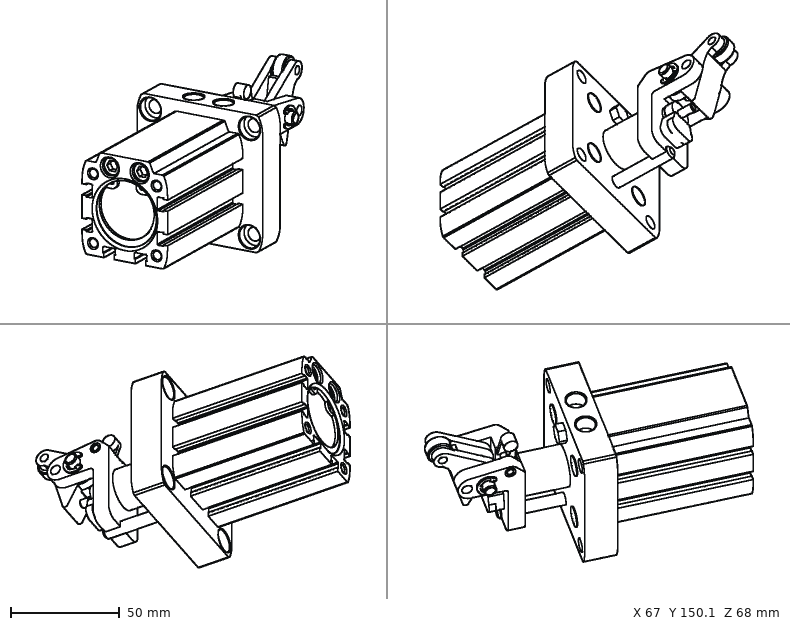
import cadquery as cq
import math


barrel_half = 22.8
barrel_length = 68.0
crown_top = 27.9
crown_outline = [(12.5, crown_top), (13.4, 27.6), (14.9, 23.9), (15.6, barrel_half)]
corner_start = (20.1, barrel_half)
corner_edge = (20.9, 22.5)
corner_middle = (22.2, 18.8)
corner_end = (barrel_half, 13.2)
slot_offset = 8.4
slot_mouth = 5.4
slot_inside = 6.6
slot_lip = 2.3
slot_depth = 5.4
slot_corner = 0.5
screw_offset = 17.0
screw_hole_diameter = 4.2
screw_hole_mouth = 5.5
screw_hole_depth = 12.0

bore_diameter = 32.0
bore_mouth = 34.8
cover_depth = 3.3
ring_depth = 1.8
ring_opening = 29.3
ring_opening_offset = 2.0
lug_place = (8.0, 13.8)
lug_radius = 3.0
lug_hole_diameter = 1.8
plug_place = (8.0, 21.6)
plug_hole_diameter = 8.5
plug_hole_mouth = 10.0
plug_depth = 2.3
hex_flats = 5.0
hex_depth = 3.0

plate_size = 67.0
plate_thickness = 15.9
plate_front = barrel_length + plate_thickness
plate_half = plate_size / 2
plate_top_edge = (30.2, plate_half)
plate_corner_edge = (31.4, 32.7)
plate_corner_middle = (32.9, 29.0)
plate_corner_side = (plate_half, 25.0)
bolt_offset = 26.4
bolt_hole_diameter = 6.6
bolt_head_diameter = 11.0
bolt_head_mouth = 11.7
bolt_head_depth = 4.5
port_offset = 8.0
port_diameter = 9.0
port_mouth = 10.0
port_depth = 7.5
port_tip_angle = 118.0
pad_diameter = 9.8
pad_height = 0.5
nut_corners = 9.9
nut_height = 3.8
nut_z = 21.9

rod_diameter = 20.1
bracket_back = 106.6
collar_z = 0.6
neck_diameter = 11.5
neck_end = 116.2
collar_diameter = 12.3
collar_end = 120.7
rod_tip_diameter = 4.0
rod_tip_end = 128.5
rod_tip_chamfer = 0.5
seat_depth = 9.0

guide_diameter = 6.0
guide_z = -22.0
guide_end = 116.2
guide_chamfer = 1.0

bracket_half = 13.8
bracket_face = 114.7
bracket_bottom = -23.5
bracket_corner_radius = 5.3
cheek_hole_diameter = 5.0
cheek_hole = (134.5, 12.9)
arm_bottom = 6.6
bracket_back_top = (bracket_back, 16.2)
bracket_crest = [(110.8, 20.7), (112.3, 21.8), (114.2, 21.9)]
bracket_nose_top = [(133.8, 19.4), (134.5, 19.2)]
bracket_nose = [(138.9, 13.0), (132.7, arm_bottom)]
arm_fillet = 1.8
lever_width = 14.3
lever_half = lever_width / 2
yoke_floor = 117.0
cut_size = 30.0
notch_left = -6.9
notch_floor = 12.8
notch_lip = 15.8
notch_lip_thickness = 0.9
stop_top_half = 5.7
stop_half = 7.2
stop_top = -3.9
stop_end = 122.0
stop_screw_x = 3.6
stop_screw_z = -10.8
stop_screw_radius = 3.9
stop_screw_thickness = 3.3

pivot = (124.5, 12.9)
pivot_diameter = 6.0
pivot_half_length = 18.0
pivot_chamfer = 0.6
heel_radius = 7.4
roller_centre = (144.1, 28.5)
roller_diameter = 12.0
roller_width = 5.9
roller_half = roller_width / 2
roller_chamfer = 0.6
roller_hole_diameter = 3.5
lever_hole_diameter = 4.0
lever_nose_radius = 4.4
toe_root = (126.5, 5.5)
toe_tip = [(131.7, -3.6), (133.2, -4.8), (134.7, -3.3)]
lever_throat = [(139.0, 12.8), (140.0, 18.3), (141.7, 22.0)]
lever_angle = 32.0
roller_pocket_radius = 6.6
roller_pocket_half = 3.3
web_top = 26.3
web_back = [(135.3, web_top), (132.7, 12.0), (127.0, 5.1)]

clip_diameter = 11.0
clip_thickness = 0.9
clip_opening = 3.9
clip_mouth_half = 8.3
clip_window = 7.8
clip_prong = 1.8
clip_prong_angles = (60, 180, 300)

release_pin = (113.6, 18.0)
release_pin_diameter = 3.0
knob = (111.1, 26.5)
knob_radius = 3.3
knob_length = 5.7
arm_left = -2.0
arm_right = -0.2
arm_foot_half = 3.0
release_pin_end = 4.5
release_recess_depth = 0.5
release_recess_diameter = 5.0


def rear_plane(y):
    """X-Z sketch plane at a given Y; a negative extrusion runs toward +Y."""
    return cq.Workplane("XZ", origin=(0, y, 0))


def side_plane(x):
    """Y-Z sketch plane at a given X; extrusions run toward +X."""
    return cq.Workplane("YZ", origin=(x, 0, 0))


def rod_along_y(diameter, start, end, x=0.0, z=0.0):
    return rear_plane(start).center(x, z).circle(diameter / 2).extrude(start - end)


def rod_along_x(diameter, start, end, place):
    return side_plane(start).center(*place).circle(diameter / 2).extrude(end - start)


def square_pattern(offset):
    return [(sx * offset, sz * offset) for sx in (-1, 1) for sz in (-1, 1)]


def holes_with_mouth(points, diameter, mouth, depth):
    """Blind holes from Y = 0 toward +Y, each with a 45 degree mouth."""
    mouth_depth = (mouth - diameter) / 2
    holes = rear_plane(0).pushPoints(points).circle(diameter / 2).extrude(-depth)
    mouths = (
        rear_plane(0)
        .pushPoints(points)
        .circle(mouth / 2)
        .extrude(-mouth_depth, taper=45)
    )
    return holes.union(mouths)


def mirrored(point, side_x, side_z):
    return side_x * point[0], side_z * point[1]


def barrel_profile():
    left_crown = [mirrored(point, -1, 1) for point in reversed(crown_outline)]
    return (
        rear_plane(0)
        .polyline(crown_outline + [corner_start, corner_edge])
        .threePointArc(corner_middle, corner_end)
        .lineTo(*mirrored(corner_end, 1, -1))
        .threePointArc(mirrored(corner_middle, 1, -1), mirrored(corner_edge, 1, -1))
        .lineTo(*mirrored(corner_start, 1, -1))
        .lineTo(*mirrored(corner_start, -1, -1))
        .lineTo(*mirrored(corner_edge, -1, -1))
        .threePointArc(mirrored(corner_middle, -1, -1), mirrored(corner_end, -1, -1))
        .lineTo(*mirrored(corner_end, -1, 1))
        .threePointArc(mirrored(corner_middle, -1, 1), mirrored(corner_edge, -1, 1))
        .lineTo(*mirrored(corner_start, -1, 1))
        .polyline(left_crown, includeCurrent=True)
        .close()
    )


def t_slots():
    """Two T-slots on the right side, at the two slot offsets."""
    slots = cq.Workplane()
    inside_depth = slot_depth - slot_lip
    for z in (-slot_offset, slot_offset):
        mouth = cq.Workplane().box(slot_depth, barrel_length, slot_mouth, centered=(True, False, True))
        mouth = mouth.translate((barrel_half - slot_depth / 2, 0, z))
        inside = cq.Workplane().box(inside_depth, barrel_length, slot_inside, centered=(True, False, True))
        inside = inside.edges("|Y and <X").chamfer(slot_corner)
        inside = inside.translate((barrel_half - slot_depth + inside_depth / 2, 0, z))
        slots = slots.add(mouth.union(inside))
    return slots.combine()


def make_barrel():
    barrel = barrel_profile().extrude(-barrel_length)
    for angle in (0, 90, 180):
        barrel = barrel.cut(t_slots().rotate((0, 0, 0), (0, 1, 0), angle))
    screw_points = square_pattern(screw_offset)
    return barrel.cut(
        holes_with_mouth(screw_points, screw_hole_diameter, screw_hole_mouth, screw_hole_depth)
    )


def cut_rear_end(barrel):
    """End recess with its cover and retaining ring, and the two socket-headed plugs."""
    ring = (
        rear_plane(ring_depth)
        .circle(bore_diameter / 2)
        .extrude(ring_depth - cover_depth)
        .cut(rod_along_y(ring_opening, ring_depth, cover_depth, z=ring_opening_offset))
    )
    lug_x, lug_z = lug_place
    lug_points = [(-lug_x, lug_z), (lug_x, lug_z)]
    lugs = rear_plane(ring_depth).pushPoints(lug_points).circle(lug_radius).extrude(ring_depth - cover_depth)
    for side in (-1, 1):
        lugs = lugs.union(
            rear_plane(ring_depth)
            .center(side * (lug_x + lug_radius / 2), lug_z)
            .rect(lug_radius, 2 * lug_radius)
            .extrude(ring_depth - cover_depth)
        )
    lugs = lugs.intersect(rod_along_y(bore_diameter, ring_depth, cover_depth))
    ring = ring.union(lugs).cut(
        rear_plane(ring_depth)
        .pushPoints(lug_points)
        .circle(lug_hole_diameter / 2)
        .extrude(ring_depth - cover_depth)
    )
    mouth_radius = (bore_mouth - bore_diameter) / 2
    mouth = (
        cq.Workplane("XY")
        .moveTo(0, 0)
        .lineTo(bore_mouth / 2, 0)
        .radiusArc((bore_diameter / 2, mouth_radius), -mouth_radius)
        .lineTo(0, mouth_radius)
        .close()
        .revolve(360, (0, 0), (0, 1))
    )
    recess = rod_along_y(bore_diameter, 0, cover_depth).cut(ring).union(mouth)

    plug_x, plug_z = plug_place
    plug_points = [(-plug_x, plug_z), (plug_x, plug_z)]
    plug_holes = holes_with_mouth(plug_points, plug_hole_diameter, plug_hole_mouth, plug_depth)
    hex_corners = hex_flats / math.cos(math.radians(30))
    sockets = rear_plane(plug_depth).pushPoints(plug_points).polygon(6, hex_corners).extrude(-hex_depth)
    return barrel.cut(recess).cut(plug_holes).cut(sockets)


def make_plate():
    plate = rear_plane(barrel_length).rect(plate_size, plate_size).extrude(-plate_thickness)
    for side_x, side_z in square_pattern(1):
        corner = (
            rear_plane(barrel_length)
            .moveTo(*mirrored(plate_top_edge, side_x, side_z))
            .lineTo(*mirrored(plate_corner_edge, side_x, side_z))
            .threePointArc(
                mirrored(plate_corner_middle, side_x, side_z),
                mirrored(plate_corner_side, side_x, side_z),
            )
            .lineTo(side_x * plate_half, side_z * plate_half)
            .close()
            .extrude(-plate_thickness)
        )
        plate = plate.cut(corner)
    bolt_points = square_pattern(bolt_offset)
    plate = plate.cut(
        rear_plane(barrel_length)
        .pushPoints(bolt_points)
        .circle(bolt_hole_diameter / 2)
        .extrude(-plate_thickness)
    )
    bolt_heads = holes_with_mouth(bolt_points, bolt_head_diameter, bolt_head_mouth, bolt_head_depth)
    plate = plate.cut(bolt_heads.translate((0, barrel_length, 0)))
    for x in (-port_offset, port_offset):
        plate = plate.cut(make_port().translate((x, barrel_length + plate_thickness / 2, plate_half)))
    return plate


def make_port():
    """Air port drilled downward from the origin, with a cone at the bottom."""
    radius = port_diameter / 2
    mouth_radius = port_mouth / 2
    tip = radius / math.tan(math.radians(port_tip_angle / 2))
    return (
        cq.Workplane("XZ")
        .moveTo(0, 0)
        .lineTo(mouth_radius, 0)
        .lineTo(radius, radius - mouth_radius)
        .lineTo(radius, -port_depth)
        .lineTo(0, -port_depth - tip)
        .close()
        .revolve(360, (0, 0), (0, 1))
    )


def make_housing():
    housing = cut_rear_end(make_barrel()).union(make_plate())
    pads = (
        rear_plane(plate_front)
        .pushPoints(square_pattern(screw_offset))
        .circle(pad_diameter / 2)
        .extrude(-pad_height)
    )
    nut = rear_plane(plate_front).center(0, nut_z).polygon(6, nut_corners).extrude(-nut_height)
    housing = housing.union(pads).union(nut)
    seat = plate_front - seat_depth
    housing = housing.cut(rod_along_y(rod_diameter, seat, plate_front + pad_height))
    return housing.cut(rod_along_y(guide_diameter, seat, plate_front, z=guide_z))


def neck_and_collar():
    """End of the piston rod inside and in front of the bracket."""
    neck = rod_along_y(neck_diameter, bracket_back, neck_end, z=collar_z)
    return neck.union(rod_along_y(collar_diameter, neck_end, collar_end, z=collar_z))


def make_piston_rod():
    rod = rod_along_y(rod_diameter, plate_front - seat_depth, bracket_back)
    tip = rod_along_y(rod_tip_diameter, collar_end, rod_tip_end)
    tip = tip.faces(">Y").chamfer(rod_tip_chamfer)
    return rod.union(neck_and_collar()).union(tip)


def make_guide_rod():
    rod = rod_along_y(guide_diameter, plate_front - seat_depth, guide_end, z=guide_z)
    return rod.faces(">Y").chamfer(guide_chamfer)


def make_stop_block():
    corner_radius = stop_half - stop_screw_x
    stop_bottom = stop_screw_z - stop_screw_radius
    block = (
        rear_plane(bracket_face)
        .polyline(
            [
                (-stop_top_half, stop_top),
                (stop_top_half, stop_top),
                (stop_half, stop_screw_z),
                (stop_half, stop_bottom),
                (-stop_half, stop_bottom),
                (-stop_half, stop_screw_z),
            ]
        )
        .close()
        .extrude(bracket_face - stop_end)
    )
    block = block.edges("|Y and <Z").fillet(corner_radius)
    for x in (-stop_screw_x, stop_screw_x):
        head = rod_along_y(
            2 * stop_screw_radius, stop_end - stop_screw_thickness, stop_end, x, stop_screw_z
        )
        block = block.union(head)
    return block


def make_bracket():
    bracket = (
        side_plane(-bracket_half)
        .moveTo(bracket_back, bracket_bottom)
        .lineTo(*bracket_back_top)
        .lineTo(*bracket_crest[0])
        .threePointArc(*bracket_crest[1:])
        .polyline(bracket_nose_top, includeCurrent=True)
        .threePointArc(*bracket_nose)
        .lineTo(bracket_face + arm_fillet, arm_bottom)
        .radiusArc((bracket_face, arm_bottom - arm_fillet), -arm_fillet)
        .lineTo(bracket_face, bracket_bottom)
        .close()
        .extrude(2 * bracket_half)
    )
    bracket = bracket.edges("|Y and <Z").fillet(bracket_corner_radius)
    bracket = bracket.union(make_stop_block())

    yoke = cq.Workplane().box(2 * lever_half, cut_size, cut_size, centered=(True, False, False))
    bracket = bracket.cut(yoke.translate((0, yoke_floor, arm_bottom - arm_fillet)))
    notch_depth = yoke_floor - bracket_back
    notch = cq.Workplane().box(-notch_left, notch_depth, notch_depth, centered=False)
    bracket = bracket.cut(notch.translate((notch_left, bracket_back, notch_lip)))
    bracket = bracket.cut(notch.translate((notch_left, bracket_back + notch_lip_thickness, notch_floor)))

    bracket = bracket.cut(neck_and_collar())
    bracket = bracket.cut(rod_along_y(guide_diameter, bracket_back, guide_end, z=guide_z))
    bracket = bracket.cut(rod_along_x(cheek_hole_diameter, -bracket_half, bracket_half, cheek_hole))
    bracket = bracket.cut(rod_along_x(pivot_diameter, -bracket_half, bracket_half, pivot))
    recess_end = -bracket_half + release_recess_depth
    bracket = bracket.cut(rod_along_x(release_recess_diameter, -bracket_half, recess_end, release_pin))
    return bracket.cut(rod_along_x(release_pin_diameter, -bracket_half, release_pin_end, release_pin))


def make_lever():
    slope = math.radians(lever_angle)
    up = (-math.sin(slope), math.cos(slope))
    nose_top = (roller_centre[0] + lever_nose_radius * up[0], roller_centre[1] + lever_nose_radius * up[1])
    heel_top = (pivot[0] + heel_radius * up[0], pivot[1] + heel_radius * up[1])
    lever = (
        side_plane(-lever_half)
        .moveTo(*nose_top)
        .lineTo(*heel_top)
        .threePointArc((pivot[0] - heel_radius, pivot[1]), (pivot[0], pivot[1] - heel_radius))
        .lineTo(*toe_root)
        .lineTo(*toe_tip[0])
        .threePointArc(*toe_tip[1:])
        .lineTo(*lever_throat[0])
        .threePointArc(*lever_throat[1:])
        .lineTo(roller_centre[0], roller_centre[1] - lever_nose_radius)
        .threePointArc((roller_centre[0] + lever_nose_radius, roller_centre[1]), nose_top)
        .close()
        .extrude(2 * lever_half)
    )
    lever_reach = roller_centre[0] + roller_diameter / 2
    lever_reach_top = roller_centre[1] + roller_diameter / 2
    slot = (
        side_plane(-roller_half)
        .moveTo(lever_reach, lever_reach_top)
        .lineTo(lever_reach, web_top)
        .polyline(web_back, includeCurrent=True)
        .lineTo(web_back[-1][0], 0)
        .lineTo(yoke_floor, 0)
        .lineTo(yoke_floor, lever_reach_top)
        .close()
        .extrude(2 * roller_half)
    )
    lever = lever.cut(slot)
    pocket_diameter = 2 * roller_pocket_radius
    lever = lever.cut(rod_along_x(pocket_diameter, -roller_pocket_half, roller_pocket_half, roller_centre))
    lever = lever.cut(rod_along_x(lever_hole_diameter, -lever_half, lever_half, roller_centre))
    return lever.cut(rod_along_x(pivot_diameter, -lever_half, lever_half, pivot))


def make_roller():
    roller = rod_along_x(roller_diameter, -roller_half, roller_half, roller_centre)
    roller = roller.edges().chamfer(roller_chamfer)
    return roller.cut(rod_along_x(roller_hole_diameter, -roller_half, roller_half, roller_centre))


def make_clip():
    """E-clip around the pivot, with three prongs and its mouth toward the rod; starts at X = 0."""
    clip = cq.Workplane("YZ").circle(clip_diameter / 2).circle(clip_window / 2).extrude(clip_thickness)
    for angle in clip_prong_angles:
        clip = clip.union(
            cq.Workplane("YZ")
            .center(-clip_window / 4, 0)
            .rect(clip_window / 2 + clip_prong / 2, clip_prong)
            .extrude(clip_thickness)
            .rotate((0, 0, 0), (1, 0, 0), angle)
        )
    mouth = cq.Workplane("YZ").moveTo(0, 0).lineTo(-clip_diameter, clip_mouth_half)
    mouth = mouth.lineTo(-clip_diameter, -clip_mouth_half).close().extrude(clip_thickness)
    clip = clip.cut(mouth)
    open_side = cq.Workplane("YZ").center(-clip_opening - clip_diameter / 2, 0)
    open_side = open_side.rect(clip_diameter, 2 * clip_diameter).extrude(clip_thickness)
    return clip.cut(open_side).translate((0, *pivot))


def make_pivot_pin():
    pin = rod_along_x(pivot_diameter, -pivot_half_length, pivot_half_length, pivot)
    pin = pin.edges().chamfer(pivot_chamfer)
    for start in (bracket_half, -bracket_half - clip_thickness):
        pin = pin.union(make_clip().translate((start, 0, 0)))
    return pin


def make_release_lever():
    pin_start = -bracket_half + release_recess_depth
    pin = rod_along_x(release_pin_diameter, pin_start, release_pin_end, release_pin)
    handle = rod_along_x(2 * knob_radius, -knob_length, 0, knob)
    dy = knob[0] - release_pin[0]
    dz = knob[1] - release_pin[1]
    length = math.hypot(dy, dz)
    tilt = math.degrees(math.atan2(dz, dy))
    arm = (
        side_plane(arm_left)
        .center(*release_pin)
        .transformed(rotate=(0, 0, tilt))
        .moveTo(0, -arm_foot_half)
        .lineTo(length, -knob_radius)
        .lineTo(length, knob_radius)
        .lineTo(0, arm_foot_half)
        .close()
        .extrude(arm_right - arm_left)
    )
    return handle.union(arm).union(pin)


result = cq.Compound.makeCompound(
    [
        make_housing().val(),
        make_piston_rod().val(),
        make_guide_rod().val(),
        make_bracket().val(),
        make_lever().val(),
        make_roller().val(),
        make_pivot_pin().val(),
        make_release_lever().val(),
    ]
)